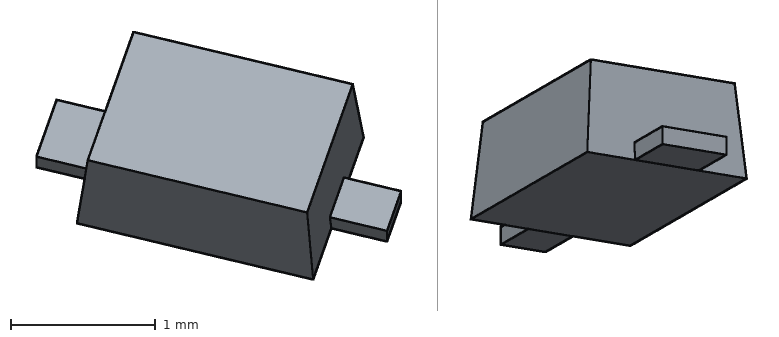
import cadquery as cq
import math

overall_length = 2.5
housing_length = 1.7
housing_width = 1.25
housing_height = 0.7
draft_angle = 5.0

lead_thickness = 0.13
wide_lead_width = 0.5
narrow_lead_width = 0.35


def make_housing():
    """Block standing on Z = 0 whose four walls lean inward toward the top."""
    return (
        cq.Workplane("XY")
        .rect(housing_length, housing_width)
        .extrude(housing_height, taper=draft_angle)
    )


def make_lead(side, width):
    """Flat lead on the -X (side = -1) or +X (side = 1) end, butted against the drafted wall."""
    tip_x = side * overall_length / 2
    root_bottom_x = side * housing_length / 2
    wall_lean = lead_thickness * math.tan(math.radians(draft_angle))
    root_top_x = root_bottom_x - side * wall_lean
    return (
        cq.Workplane("XZ")
        .moveTo(root_bottom_x, 0)
        .lineTo(tip_x, 0)
        .lineTo(tip_x, lead_thickness)
        .lineTo(root_top_x, lead_thickness)
        .close()
        .extrude(width / 2, both=True)
    )


housing = make_housing()
leads = [
    make_lead(side, width)
    for side, width in [(-1, wide_lead_width), (1, narrow_lead_width)]
]

result = cq.Compound.makeCompound([housing.val(), *[lead.val() for lead in leads]])